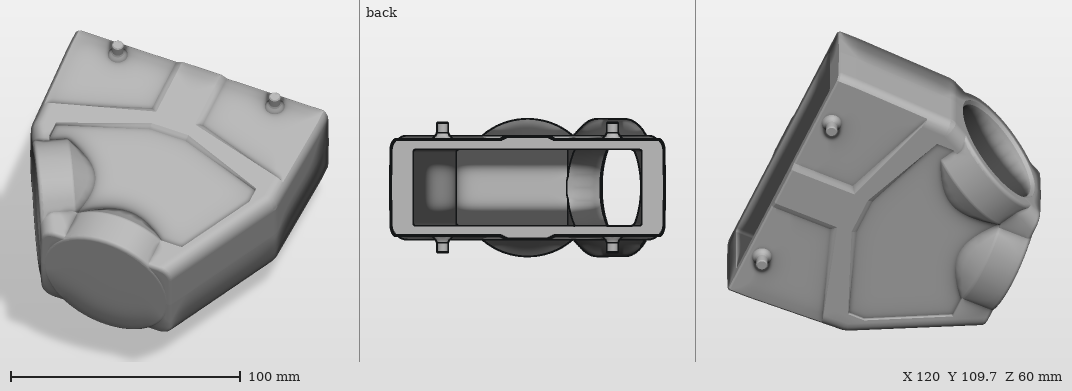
import cadquery as cq
import math

HALF_WIDTH = 60.0
LENGTH = 109.7
REAR_Y = LENGTH / 2
FRONT_Y = -REAR_Y
HALF_HEIGHT = 22.7
DRAFT_ANGLE = 1.0
SIDE_BEND_START = (HALF_WIDTH, 46.7)
SIDE_BEND_END = (59.9, 42.8)
SHOULDER_X = 58.1
SHOULDER_Y = -0.7
FRONT_HALF_WIDTH = 30.5
REAR_MARGIN = 9.6
SHOULDER_RADIUS = 6.6
LONG_EDGE_RADIUS = 6.0
RIM_RADIUS = 1.7
REAR_EDGE_CHAMFER = 0.7

COLLAR_RADIUS = 30.0
COLLAR_LENGTH = 15.2
COLLAR_END_RADIUS = 14.4
COLLAR_SLOPE = 40.0
COLLAR_INSET = 0.4
SLANT_COLLAR_SHIFT = 0.8

ENTRY_RADIUS = 23.9
ENTRY_INNER_RADIUS = 23.0
ENTRY_DEPTH = 18.0
ENTRY_CHAMFER = 1.3
ENTRY_CONE_LENGTH = 3.5

CAVITY_HALF_HEIGHT = 16.7
CAVITY_HALF_WIDTH = 49.8
CAVITY_FRONT_Y = -40.5
SLANT_WALL = 6.0
CAVITY_EDGE_RADIUS = 1.5

RECESS_DEPTH = 1.5
FLOOR_Z = HALF_HEIGHT - RECESS_DEPTH

PIN_X = 37.0
PIN_Y = 48.2
PIN_RADIUS = 2.5
PIN_TOP_Z = 28.5
PIN_CHAMFER = 0.5
PIN_BASE_RADIUS = 4.3
PIN_BASE_TOP_RADIUS = 2.9
PIN_BASE_TOP_Z = 23.0
PIN_FOOT_Z = 23.9
PIN_ROOT_Z = CAVITY_HALF_HEIGHT + 1.2

SLANT_DX = SHOULDER_X - FRONT_HALF_WIDTH
SLANT_DY = SHOULDER_Y - FRONT_Y
SLANT_LENGTH = math.hypot(SLANT_DX, SLANT_DY)
SLANT_INWARD = (SLANT_DY / SLANT_LENGTH, SLANT_DX / SLANT_LENGTH)
SLANT_FORWARD = (SLANT_DX / SLANT_LENGTH, -SLANT_DY / SLANT_LENGTH)
SLANT_MIDDLE = (-(SHOULDER_X + FRONT_HALF_WIDTH) / 2, (SHOULDER_Y + FRONT_Y) / 2)


def mirrored_outline(right_points):
    """Close a half outline, listed from rear to front, across X = 0."""
    return right_points + [(-x, y) for x, y in reversed(right_points)]


def slant_x(y, inset=0.0):
    """X of the right slanted wall at a given Y, moved inwards by an inset."""
    return FRONT_HALF_WIDTH + (y - FRONT_Y) * SLANT_DX / SLANT_DY - inset * SLANT_LENGTH / SLANT_DY


def slant_point(depth, forward):
    """Point at a depth behind the left slanted wall and a distance forward of its middle."""
    return tuple(
        middle + depth * inward + forward * ahead
        for middle, inward, ahead in zip(SLANT_MIDDLE, SLANT_INWARD, SLANT_FORWARD)
    )


def upright_edges_at(y):
    """Selector for the nearly vertical side edges of the upper half at a given Y."""
    reach = 2.4
    return cq.selectors.BoxSelector(
        (-HALF_WIDTH, y - reach, reach), (HALF_WIDTH, y + reach, HALF_HEIGHT - reach)
    )


def make_body():
    outline = mirrored_outline([
        (HALF_WIDTH, REAR_Y + REAR_MARGIN),
        SIDE_BEND_START,
        SIDE_BEND_END,
        (SHOULDER_X, SHOULDER_Y),
        (FRONT_HALF_WIDTH, FRONT_Y),
    ])
    upper = cq.Workplane("XY").polyline(outline).close().extrude(HALF_HEIGHT, taper=DRAFT_ANGLE)
    upper = upper.edges(upright_edges_at(SHOULDER_Y)).fillet(SHOULDER_RADIUS)
    upper = upper.faces(">Z").edges("not(<Y or >Y)").fillet(LONG_EDGE_RADIUS)
    upper = upper.faces("<Y").edges("not <Z").fillet(RIM_RADIUS)
    blank = cq.Workplane("XY").box(2 * HALF_WIDTH, LENGTH, 2 * HALF_HEIGHT)
    return upper.union(upper.mirror("XY")).intersect(blank)


def along(solid, start, direction):
    """Turn a solid made along +Y so that it starts at a point and runs in a level direction."""
    angle = math.degrees(math.atan2(direction[1], direction[0])) - 90
    return solid.rotate((0, 0, 0), (0, 0, 1), angle).translate((*start, 0))


def make_collar(start, inward):
    """Rounded drum at an outer wall, running out as a cone inside the body."""
    run_out = (COLLAR_RADIUS - COLLAR_END_RADIUS) / math.tan(math.radians(COLLAR_SLOPE))
    profile = (
        cq.Workplane("XY")
        .polyline([
            (0, 0),
            (COLLAR_RADIUS, 0),
            (COLLAR_RADIUS, COLLAR_LENGTH),
            (COLLAR_END_RADIUS, COLLAR_LENGTH + run_out),
            (0, COLLAR_LENGTH + run_out),
        ])
        .close()
    )
    drum = profile.revolve(360, (0, 0), (0, 1))
    drum = drum.faces("%CYLINDER").edges("%CIRCLE").fillet(RIM_RADIUS)
    return along(drum, start, inward)


def make_entry(start_depth):
    """Slightly tapered bore with a chamfered mouth, a conical end and a clear run outside the wall."""
    mouth_radius = ENTRY_RADIUS + ENTRY_CHAMFER
    profile = (
        cq.Workplane("XY")
        .polyline([
            (0, -start_depth),
            (mouth_radius, -start_depth),
            (mouth_radius, 0),
            (ENTRY_RADIUS, ENTRY_CHAMFER),
            (ENTRY_INNER_RADIUS, ENTRY_DEPTH),
            (CAVITY_HALF_HEIGHT, ENTRY_DEPTH + ENTRY_CONE_LENGTH),
            (0, ENTRY_DEPTH + ENTRY_CONE_LENGTH),
        ])
        .close()
    )
    start = slant_point(start_depth, SLANT_COLLAR_SHIFT)
    return along(profile.revolve(360, (0, 0), (0, 1)), start, SLANT_INWARD)


def make_cavity():
    """Space open to the rear, with a thick wall left in front of the cable entry."""
    corner_y = FRONT_Y + (CAVITY_HALF_WIDTH - slant_x(FRONT_Y, SLANT_WALL)) * SLANT_DY / SLANT_DX
    outline = mirrored_outline([
        (CAVITY_HALF_WIDTH, REAR_Y),
        (CAVITY_HALF_WIDTH, corner_y),
        (slant_x(CAVITY_FRONT_Y, SLANT_WALL), CAVITY_FRONT_Y),
    ])
    space = cq.Workplane("XY").polyline(outline).close().extrude(CAVITY_HALF_HEIGHT, both=True)
    space = space.faces("|Z").edges("not(<Y or >Y)").fillet(CAVITY_EDGE_RADIUS)
    thick_wall = (
        cq.Workplane("XY")
        .polyline([
            slant_point(0, 0),
            slant_point(ENTRY_DEPTH, 0),
            slant_point(ENTRY_DEPTH, SLANT_LENGTH / 2),
            slant_point(0, SLANT_LENGTH / 2),
        ])
        .close()
        .extrude(CAVITY_HALF_HEIGHT, both=True)
    )
    return space.cut(thick_wall)


def sunk_recess(floor_points, rim_points):
    """Recess in the upper face, its walls leaning from the floor outline out to the rim outline."""
    return (
        cq.Workplane("XY", origin=(0, 0, FLOOR_Z))
        .polyline(floor_points)
        .close()
        .workplane(offset=RECESS_DEPTH)
        .polyline(rim_points)
        .close()
        .loft(ruled=True)
    )


def make_pin_panel():
    """Recess around the right pin, open to the rear and to the side."""
    side_x = HALF_WIDTH + REAR_MARGIN
    rear_y = REAR_Y + REAR_MARGIN
    floor_points = [(12.0, rear_y), (12.0, 26.9), (55.5, 11.3), (side_x, 11.3), (side_x, rear_y)]
    rim_points = [(9.1, rear_y), (9.1, 24.8), (55.5, 11.0), (side_x, 11.0), (side_x, rear_y)]
    return sunk_recess(floor_points, rim_points)


def make_front_recess():
    """Shield-shaped recess in front of the pin panels."""
    rim_points = mirrored_outline([(8.6, 18.2), (47.2, 2.5), (47.2, -5.2), (29.5, -39.5)])
    floor_points = mirrored_outline([(8.4, 15.8), (46.9, 2.3), (46.9, -5.0), (29.3, -39.2)])
    return sunk_recess(floor_points, rim_points)


def make_pin():
    """Right upper locking pin on its conical base."""
    profile = (
        cq.Workplane("XZ")
        .polyline([
            (0, PIN_ROOT_Z),
            (PIN_BASE_RADIUS, PIN_ROOT_Z),
            (PIN_BASE_RADIUS, FLOOR_Z),
            (PIN_BASE_TOP_RADIUS, PIN_BASE_TOP_Z),
            (PIN_RADIUS, PIN_FOOT_Z),
            (PIN_RADIUS, PIN_TOP_Z - PIN_CHAMFER),
            (PIN_RADIUS - PIN_CHAMFER, PIN_TOP_Z),
            (0, PIN_TOP_Z),
        ])
        .close()
    )
    return profile.revolve(360, (0, 0), (0, 1)).translate((PIN_X, PIN_Y, 0))


result = make_body()

upper_recesses = [make_front_recess(), make_pin_panel(), make_pin_panel().mirror("YZ")]
for recess in upper_recesses:
    result = result.cut(recess).cut(recess.mirror("XY"))
result = result.faces(">Y").edges().chamfer(REAR_EDGE_CHAMFER)

result = result.union(make_collar((0, FRONT_Y), (0, 1)))
result = result.union(make_collar(slant_point(COLLAR_INSET, SLANT_COLLAR_SHIFT), SLANT_INWARD))

for pin in [make_pin(), make_pin().mirror("YZ")]:
    result = result.union(pin).union(pin.mirror("XY"))

result = result.cut(make_cavity()).cut(make_entry(COLLAR_INSET))